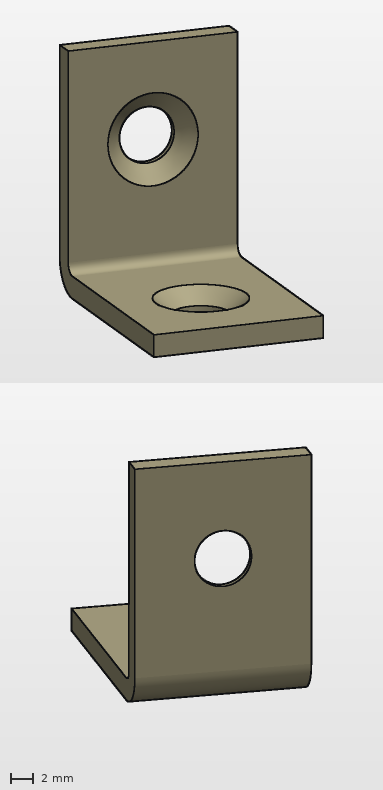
import cadquery as cq

leg_length = 22.23
width = 15.87
thickness = 2.05
inner_bend_radius = 0.95
hole_distance = 13.34
hole_diameter = 5.11
countersink_diameter = 8.45
countersink_angle = 98.0

outer_bend_radius = inner_bend_radius + thickness


def bent_strip():
    """L-shaped strip of constant thickness, centred on Y = 0."""
    corner = (
        cq.Workplane("XZ")
        .polyline([
            (0, 0),
            (leg_length, 0),
            (leg_length, thickness),
            (thickness, thickness),
            (thickness, leg_length),
            (0, leg_length),
        ])
        .close()
        .extrude(width / 2, both=True)
    )
    inner_edge = cq.NearestToPointSelector((thickness, 0, thickness))
    outer_edge = cq.NearestToPointSelector((0, 0, 0))
    rounded = corner.edges("|Y").edges(inner_edge).fillet(inner_bend_radius)
    return rounded.edges("|Y").edges(outer_edge).fillet(outer_bend_radius)


def cut_countersunk_hole(body, inner_face):
    """Through hole countersunk from a workplane on the inner face of a leg."""
    return body.copyWorkplane(inner_face).cskHole(
        hole_diameter, countersink_diameter, countersink_angle
    )


horizontal_leg_face = cq.Workplane("XY", origin=(hole_distance, 0, thickness))
vertical_leg_face = cq.Workplane("YZ", origin=(thickness, 0, hole_distance))

result = bent_strip()
for leg_face in (horizontal_leg_face, vertical_leg_face):
    result = cut_countersunk_hole(result, leg_face)